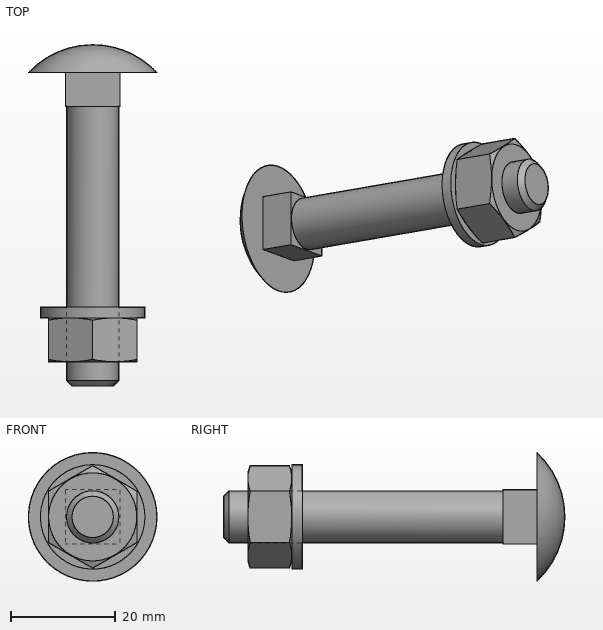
import cadquery as cq
import math

TOTAL_LENGTH = 65.4
HEAD_DIAMETER = 24.65
HEAD_HEIGHT = 5.35
NECK_WIDTH = 10.45
NECK_LENGTH = 6.5
SHANK_DIAMETER = 10.0
TIP_CHAMFER = 1.05

WASHER_DIAMETER = 20.0
WASHER_THICKNESS = 2.0
WASHER_DISTANCE = 44.9

NUT_ACROSS_FLATS = 17.0
NUT_HEIGHT = 8.45
NUT_FACE_DIAMETER = 16.9
NUT_CHAMFER_DEPTH = 0.45

SHANK_LENGTH = TOTAL_LENGTH - HEAD_HEIGHT
NUT_DISTANCE = WASHER_DISTANCE + WASHER_THICKNESS


def section_plane(distance):
    """Workplane at a distance below the head, with its normal toward the tip."""
    return cq.Workplane("XZ", origin=(0, -distance, 0))


def make_bolt():
    head_radius = HEAD_DIAMETER / 2
    dome_radius = (head_radius**2 + HEAD_HEIGHT**2) / (2 * HEAD_HEIGHT)
    half_angle = math.asin(head_radius / dome_radius) / 2
    arc_middle = (
        dome_radius * math.sin(half_angle),
        HEAD_HEIGHT - dome_radius * (1 - math.cos(half_angle)),
    )
    head = (
        cq.Workplane("XY")
        .lineTo(head_radius, 0)
        .threePointArc(arc_middle, (0, HEAD_HEIGHT))
        .close()
        .revolve(360, (0, 0, 0), (0, 1, 0))
    )
    neck = section_plane(0).rect(NECK_WIDTH, NECK_WIDTH).extrude(NECK_LENGTH)
    shank = (
        section_plane(0)
        .circle(SHANK_DIAMETER / 2)
        .extrude(SHANK_LENGTH)
        .faces("<Y")
        .chamfer(TIP_CHAMFER)
    )
    return head.union(neck).union(shank)


def make_washer():
    return (
        section_plane(WASHER_DISTANCE)
        .circle(WASHER_DIAMETER / 2)
        .circle(SHANK_DIAMETER / 2)
        .extrude(WASHER_THICKNESS)
    )


def make_nut():
    across_corners = NUT_ACROSS_FLATS / math.cos(math.radians(30))
    hexagon = (
        section_plane(NUT_DISTANCE)
        .transformed(rotate=(0, 0, 90))
        .polygon(6, across_corners)
        .extrude(NUT_HEIGHT)
    )
    envelope = (
        cq.Workplane("XY")
        .moveTo(0, -NUT_DISTANCE)
        .lineTo(NUT_FACE_DIAMETER / 2, -NUT_DISTANCE)
        .lineTo(across_corners / 2, -NUT_DISTANCE - NUT_CHAMFER_DEPTH)
        .lineTo(across_corners / 2, -NUT_DISTANCE - NUT_HEIGHT + NUT_CHAMFER_DEPTH)
        .lineTo(NUT_FACE_DIAMETER / 2, -NUT_DISTANCE - NUT_HEIGHT)
        .lineTo(0, -NUT_DISTANCE - NUT_HEIGHT)
        .close()
        .revolve(360, (0, 0, 0), (0, 1, 0))
    )
    bore = section_plane(NUT_DISTANCE).circle(SHANK_DIAMETER / 2).extrude(NUT_HEIGHT)
    return hexagon.intersect(envelope).cut(bore)


bolt = make_bolt()
washer = make_washer()
nut = make_nut()

result = cq.Compound.makeCompound([*bolt.solids().vals(), washer.val(), *nut.solids().vals()])